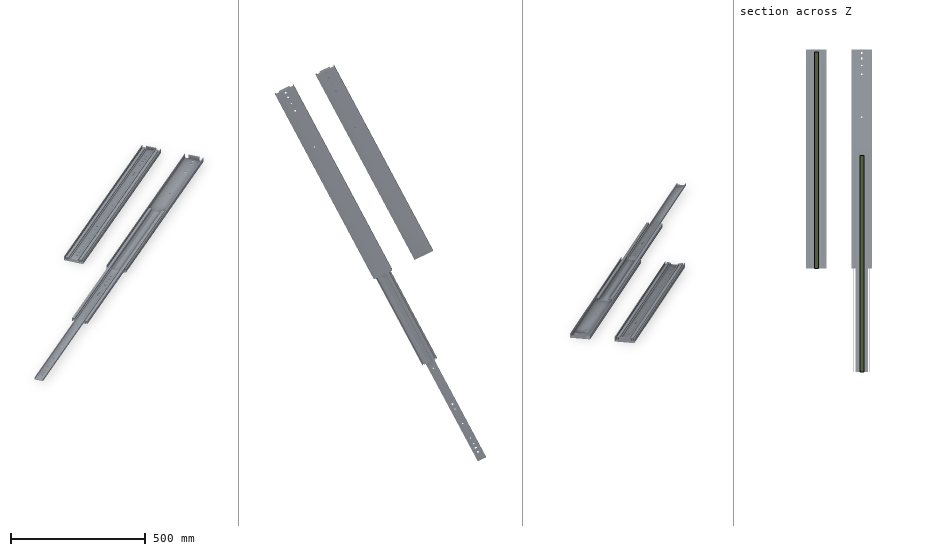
import cadquery as cq

slide_spacing = 169.0
middle_travel = 384.0
inner_travel = 813.0
closed_setback = 2.1

outer_length = 813.0
outer_width = 76.0
outer_height = 20.0
outer_sheet = 2.5
corner_radius = 2.3
tab_width = 42.0

middle_length = 806.0
middle_width = 60.0
middle_height = 13.8
middle_inside_width = 42.0
middle_sheet = 2.1
raised_top_width = 16.0
raised_base_width = 23.0
raised_height = 2.0

inner_length = 803.0
inner_width = 34.0
inner_height = 9.0
inner_sheet = 2.5

rail_gap = 0.3
outer_bottom = -outer_height / 2
outer_web_top = outer_bottom + outer_sheet
middle_bottom = outer_web_top + rail_gap
middle_web_top = middle_bottom + middle_sheet
inner_bottom = middle_web_top + raised_height + rail_gap

large_hole = 7.2
small_hole = 5.2
outer_large_holes = [12.2, 33.0, 91.0]
outer_small_holes = [59.0, 250.0]
inner_large_holes = [33.0, 242.0, 693.0, 719.0, 736.0, 756.0]
inner_small_holes = [68.0, 95.0, 158.0, 221.0, 400.0]
slot_width = small_hole
long_slot_place = 627.0
long_slot_length = 30.0
cross_slot_place = 50.0
cross_slot_length = 10.0


def extrude_profile(right_half, length):
    """Mirror the right half of a profile and extrude it from Y = 0 to Y = length."""
    left_half = [(-x, z) for x, z in reversed(right_half)]
    profile = cq.Workplane("XZ").polyline(right_half + left_half).close()
    return profile.extrude(-length)


def channel(width, height, sheet, length, bottom):
    """U channel that is open at the top."""
    outside = width / 2
    inside = outside - sheet
    top = bottom + height
    right_half = [(outside, bottom), (outside, top), (inside, top), (inside, bottom + sheet)]
    return extrude_profile(right_half, length)


def web_plane(y_places):
    """Points on the centre line, on a plane through mid-height."""
    return cq.Workplane("XY").pushPoints([(0, y) for y in y_places])


def round_holes(y_places, diameter):
    return web_plane(y_places).circle(diameter / 2).extrude(outer_height, both=True)


def slot(y_place, length, angle):
    return web_plane([y_place]).slot2D(length, slot_width, angle).extrude(outer_height, both=True)


def make_outer_rail():
    rail = channel(outer_width, outer_height, outer_sheet, outer_length, outer_bottom)
    rail = rail.faces("<Z").edges("|Y").fillet(corner_radius)
    rail = rail.edges("|Y and (<X or >X)").edges(">Z").fillet(corner_radius)
    tab = cq.Workplane("XY").box(tab_width, outer_sheet, outer_height, centered=(True, False, True))
    rail = rail.union(tab.translate((0, outer_length - outer_sheet, 0)))
    rail = rail.cut(round_holes([outer_length - d for d in outer_large_holes], large_hole))
    return rail.cut(round_holes([outer_length - d for d in outer_small_holes], small_hole))


def make_middle_rail():
    outside = middle_width / 2
    inside = middle_inside_width / 2
    top = middle_bottom + middle_height
    raised_top = raised_top_width / 2
    raised_base = raised_base_width / 2
    right_half = [
        (raised_top, middle_bottom + raised_height),
        (raised_base, middle_bottom),
        (inside + middle_sheet, middle_bottom),
        (inside + middle_sheet, top - middle_sheet),
        (outside - middle_sheet, top - middle_sheet),
        (outside - middle_sheet, middle_bottom),
        (outside, middle_bottom),
        (outside, top),
        (inside, top),
        (inside, middle_web_top),
        (raised_base, middle_web_top),
        (raised_top, middle_web_top + raised_height),
    ]
    return extrude_profile(right_half, middle_length)


def make_inner_rail():
    rail = channel(inner_width, inner_height, inner_sheet, inner_length, inner_bottom)
    rail = rail.cut(round_holes(inner_large_holes, large_hole))
    rail = rail.cut(round_holes(inner_small_holes, small_hole))
    rail = rail.cut(slot(long_slot_place, long_slot_length, 90))
    return rail.cut(slot(cross_slot_place, cross_slot_length, 0))


def make_slide(x, middle_front, inner_front):
    """The three rails of one slide, with the front end of its outer rail at Y = 0."""
    outer_rail = make_outer_rail().translate((x, 0, 0))
    middle_rail = make_middle_rail().translate((x, middle_front, 0))
    inner_rail = make_inner_rail().translate((x, inner_front, 0))
    return [outer_rail.val(), middle_rail.val(), inner_rail.val()]


closed_slide = make_slide(-slide_spacing / 2, 0, closed_setback)
open_slide = make_slide(slide_spacing / 2, -middle_travel, -inner_travel)
result = cq.Compound.makeCompound([*closed_slide, *open_slide])